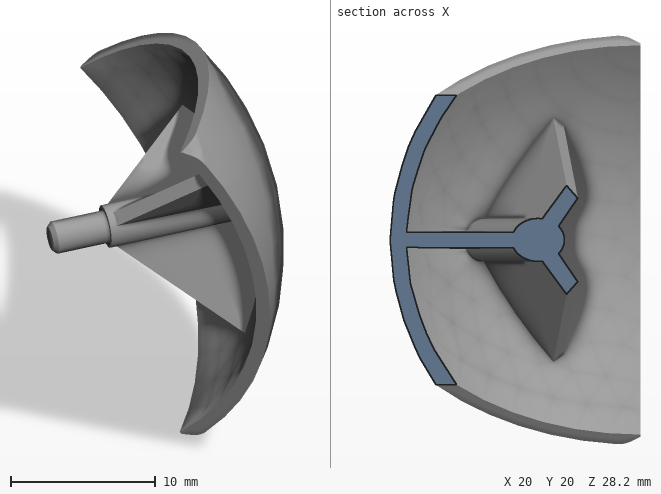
import cadquery as cq
import math

outer_radius = 20.0
wall = 1.0
inner_radius = outer_radius - wall
octant_turn = 45.0
corner_tip = 0.2
corner_flat_tilt = 45.0
corner_blend_radius = 1.0

mast_tilt = math.degrees(math.atan(1 / math.sqrt(2)))
pin_radius = 1.14
pin_start = 4.0
pin_chamfer = 0.3
post_radius = 1.5
post_start = 8.0
fin_count = 3
fin_edge_thickness = 1.0
fin_draft = 1.0
fin_edge_start = 7.05
root_radius = inner_radius + wall / 2


def ball_with_flat(normal):
    """Outer ball with a flat facing the given direction, blended into the sphere.

    The flat crosses the octant edge just outside the inner sphere.
    """
    flat_distance = (inner_radius + corner_tip) * math.cos(math.radians(corner_flat_tilt))
    cap = (
        cq.Workplane("XY")
        .workplane(offset=flat_distance)
        .circle(outer_radius)
        .extrude(outer_radius)
    )
    ball = cq.Workplane("XY").sphere(outer_radius).cut(cap)
    ball = ball.faces(">Z").edges().fillet(corner_blend_radius)
    flat_frame = cq.Plane(origin=(0, 0, 0), normal=normal)
    return cq.Workplane(ball.val().moved(flat_frame.location))


def make_shell():
    """Octant shell with its three corners trimmed, turned to straddle the XY plane."""
    shell = cq.Workplane("XY").box(outer_radius, outer_radius, outer_radius, centered=False)
    along = math.cos(math.radians(corner_flat_tilt))
    inward = -math.sin(math.radians(corner_flat_tilt)) / math.sqrt(2)
    for normal in ((along, inward, inward), (inward, along, inward), (inward, inward, along)):
        shell = shell.intersect(ball_with_flat(normal))
    shell = shell.cut(cq.Workplane("XY").sphere(inner_radius))
    return shell.rotate((0, 0, 0), (0, 1, 0), octant_turn)


def make_fin():
    """Drafted triangular web beside a mast along X, swept along its 45 degree free edge."""
    depth = outer_radius
    half_edge = fin_edge_thickness / 2
    half_root = half_edge + depth * math.tan(math.radians(fin_draft))
    edge_frame = cq.Plane(origin=(fin_edge_start, 0, 0), xDir=(1, -1, 0), normal=(1, 1, 0))
    web = (
        cq.Workplane(edge_frame)
        .polyline([(0, -half_edge), (depth, -half_root), (depth, half_root), (0, half_edge)])
        .close()
        .extrude(2 * outer_radius)
    )
    beside_mast = cq.Workplane("XY").box(
        2 * outer_radius, outer_radius, outer_radius, centered=(True, False, True)
    )
    return web.intersect(beside_mast.translate((0, pin_radius, 0)))


def make_mast():
    """Pin, post and fins built along X, ended inside the wall, then tilted into place."""
    pin = (
        cq.Workplane("YZ")
        .workplane(offset=pin_start)
        .circle(pin_radius)
        .extrude(post_start - pin_start)
        .faces("<X")
        .chamfer(pin_chamfer)
    )
    post = (
        cq.Workplane("YZ")
        .workplane(offset=post_start)
        .circle(post_radius)
        .extrude(outer_radius - post_start)
    )
    mast = pin.union(post)
    for index in range(fin_count):
        fin = make_fin().rotate((0, 0, 0), (1, 0, 0), index * 360 / fin_count)
        mast = mast.union(fin)
    mast = mast.intersect(cq.Workplane("XY").sphere(root_radius))
    return mast.rotate((0, 0, 0), (0, 0, 1), mast_tilt)


result = make_shell().union(make_mast())